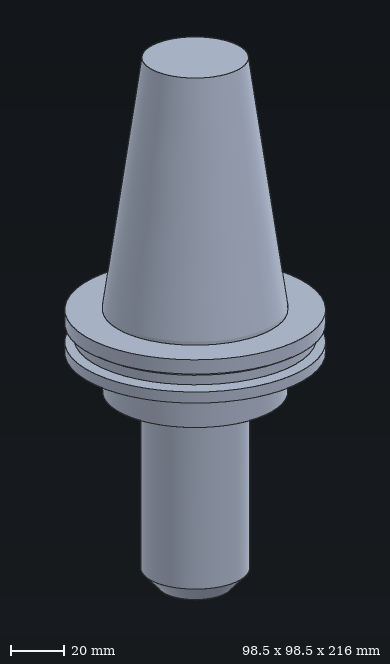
import cadquery as cq

total_height = 216.0
tip_chamfer_height = 7.1
hub_bottom = 79.2
flange_bottom = 95.2
flange_top = 113.0
collar_height = 1.3

flange_diameter = 98.5
hub_diameter = 70.0
shank_diameter = 41.2
tip_diameter = 28.0
taper_ratio = 7 / 24

groove_floor_diameter = 91.5
lower_rim_height = 4.5
upper_rim_height = 5.8
groove_lower_side_height = 1.5
groove_upper_side_height = 2.0

taper_base = flange_top + collar_height
taper_length = total_height - taper_base
taper_top_diameter = hub_diameter - taper_length * taper_ratio
groove_bottom = flange_bottom + lower_rim_height
groove_top = flange_top - upper_rim_height


def revolved_section(stations):
    """Turn (diameter, height) stations, listed bottom to top, about the Z axis."""
    outline = [(0, stations[0][1])]
    outline += [(diameter / 2, height) for diameter, height in stations]
    outline.append((0, stations[-1][1]))
    return cq.Workplane("XZ").polyline(outline).close().revolve(360, (0, 0, 0), (0, 1, 0))


shank_and_hub = [
    (tip_diameter, 0),
    (shank_diameter, tip_chamfer_height),
    (shank_diameter, hub_bottom),
    (hub_diameter, hub_bottom),
    (hub_diameter, flange_bottom),
]

grooved_flange = [
    (flange_diameter, flange_bottom),
    (flange_diameter, groove_bottom),
    (groove_floor_diameter, groove_bottom + groove_lower_side_height),
    (groove_floor_diameter, groove_top - groove_upper_side_height),
    (flange_diameter, groove_top),
    (flange_diameter, flange_top),
]

collar_and_taper = [
    (hub_diameter, flange_top),
    (hub_diameter, taper_base),
    (taper_top_diameter, total_height),
]

result = revolved_section(shank_and_hub + grooved_flange + collar_and_taper)